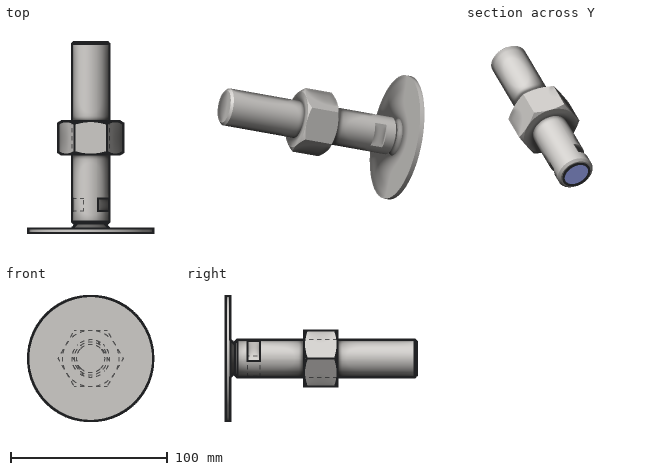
import cadquery as cq
import math


overall_length = 122.0

plate_diameter = 80.0
plate_thickness = 3.0
neck_base_diameter = 24.0
neck_top_diameter = 18.0
neck_height = 3.0

stud_diameter = 24.0
stud_chamfer = 1.5
stud_start = plate_thickness + neck_height
stud_length = overall_length - stud_start

wrench_size = 19.0
wrench_flat_length = 8.0
wrench_flat_start = 14.0
wrench_flat_tilt = 30.0

nut_across_flats = 36.0
nut_across_corners = nut_across_flats / math.cos(math.radians(30))
nut_height = 21.5
nut_start = 50.0
nut_chamfer_angle = 30.0


def plane_at(y):
    """Plane square to the common axis at height y; its normal is +Y and its local x is +X."""
    return cq.Plane(origin=(0, y, 0), xDir=(1, 0, 0), normal=(0, 1, 0))


def make_base_plate():
    """Disc with a neck that tapers up to the stud."""
    profile = [
        (0, 0),
        (plate_diameter / 2, 0),
        (plate_diameter / 2, plate_thickness),
        (neck_base_diameter / 2, plate_thickness),
        (neck_top_diameter / 2, plate_thickness + neck_height),
        (0, plate_thickness + neck_height),
    ]
    return cq.Workplane("XY").polyline(profile).close().revolve(360, (0, 0), (0, 1))


def make_stud():
    """Rod chamfered at both ends, with two opposite wrench flats."""
    rod = (
        cq.Workplane(plane_at(stud_start))
        .circle(stud_diameter / 2)
        .extrude(stud_length)
        .faces("<Y or >Y")
        .chamfer(stud_chamfer)
    )
    ring_around_flats = (
        cq.Workplane(plane_at(wrench_flat_start))
        .circle(stud_diameter)
        .extrude(wrench_flat_length)
    )
    kept_between_flats = (
        cq.Workplane(plane_at(wrench_flat_start))
        .rect(wrench_size, 2 * stud_diameter)
        .extrude(wrench_flat_length)
        .rotate((0, 0, 0), (0, 1, 0), -wrench_flat_tilt)
    )
    return rod.cut(ring_around_flats.cut(kept_between_flats)).solids()


def make_nut():
    """Hexagonal prism with conically chamfered corners and a bore for the stud."""
    hexagon = (
        cq.Workplane(plane_at(nut_start))
        .polygon(6, nut_across_corners)
        .extrude(nut_height)
    )
    face_radius = nut_across_flats / 2
    corner_radius = nut_across_corners / 2
    corner_drop = (corner_radius - face_radius) * math.tan(math.radians(nut_chamfer_angle))
    nut_end = nut_start + nut_height
    envelope_profile = [
        (0, nut_start),
        (face_radius, nut_start),
        (corner_radius, nut_start + corner_drop),
        (corner_radius, nut_end - corner_drop),
        (face_radius, nut_end),
        (0, nut_end),
    ]
    envelope = cq.Workplane("XY").polyline(envelope_profile).close().revolve(360, (0, 0), (0, 1))
    bore = cq.Workplane(plane_at(nut_start)).circle(stud_diameter / 2).extrude(nut_height)
    return hexagon.intersect(envelope).cut(bore).solids()


base_plate = make_base_plate()
stud = make_stud()
nut = make_nut()

result = cq.Compound.makeCompound([base_plate.val(), stud.val(), nut.val()])